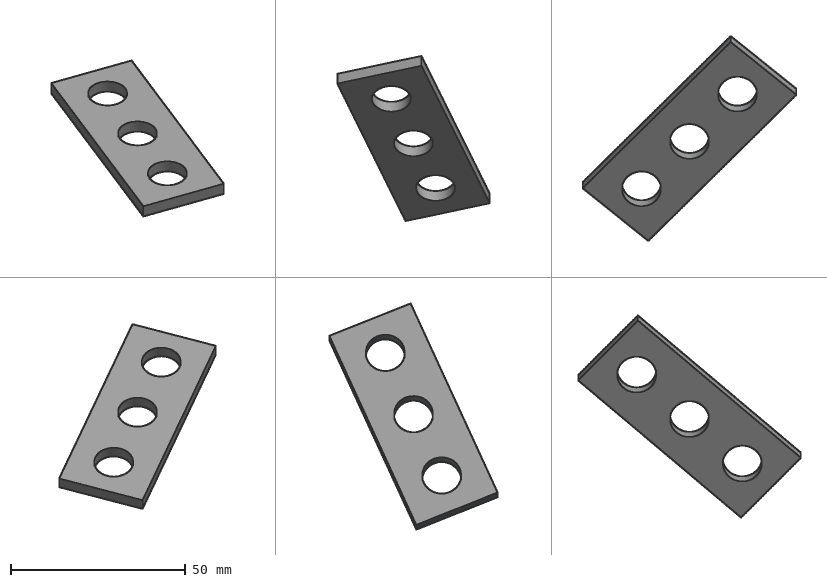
import cadquery as cq

length = 63.5
width = 25.4
thickness = 3.75

hole_diameter = 11.2
hole_count = 3
hole_pitch = 20.6

plate = cq.Workplane("XY").box(length, width, thickness)

result = (
    plate.faces(">Z")
    .workplane()
    .rarray(hole_pitch, 0.65, hole_count, 1)
    .hole(hole_diameter)
)